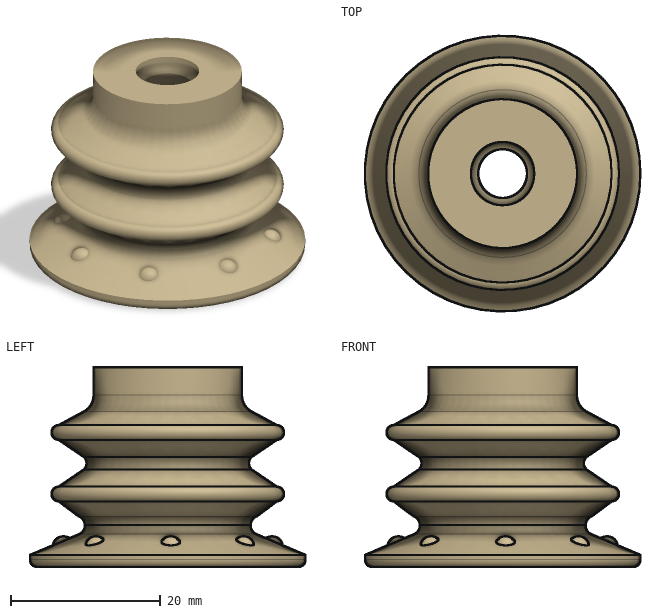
import cadquery as cq
import math

height = 26.8
rim_radius = 18.5
collar_radius = 10.0
collar_base_z = 23.05

rim_round = 1.0
rim_top_z = 1.63
skirt_top_radius = 11.85
skirt_top_z = 4.45

waist_radius = 11.17
waist_z = 5.65
waist_top_radius = 11.95
waist_top_z = 6.8
waist_mid_radius = 11.32
waist_mid_z = 6.3

fold_round = 1.0
fold_center_radius = 14.6
lower_fold_z = 9.8
fold_pitch = 8.25
upper_fold_z = lower_fold_z + fold_pitch

groove_radius = 10.9
groove_edge_radius = 11.2
groove_half_width = 0.8
groove_z = (lower_fold_z + upper_fold_z) / 2

shoulder_radius = 11.25
shoulder_z = 20.85

stud_count = 8
stud_circle_radius = 14.0
stud_sphere_radius = 1.48
stud_top_z = 4.15
stud_start_angle = -88.4

bore_radius = 3.25
counterbore_radius = 4.25
counterbore_wall = 1.0


def add_fold_edge(outline, fold_z):
    """Continue the outline up to a fold and around its half-round edge."""
    return outline.lineTo(fold_center_radius, fold_z - fold_round).threePointArc(
        (fold_center_radius + fold_round, fold_z),
        (fold_center_radius, fold_z + fold_round),
    )


def make_bellows():
    """Revolve the two folds and the collar, standing on the sealing lip at the waist."""
    counterbore_round = counterbore_radius - bore_radius
    round_start_z = height - counterbore_wall
    outline = (
        cq.Workplane("XZ")
        .moveTo(bore_radius, waist_z)
        .lineTo(waist_radius, waist_z)
        .threePointArc(
            (waist_mid_radius, waist_mid_z),
            (waist_top_radius, waist_top_z),
        )
    )
    outline = add_fold_edge(outline, lower_fold_z)
    outline = outline.lineTo(groove_edge_radius, groove_z - groove_half_width).threePointArc(
        (groove_radius, groove_z),
        (groove_edge_radius, groove_z + groove_half_width),
    )
    outline = add_fold_edge(outline, upper_fold_z)
    return (
        outline.lineTo(shoulder_radius, shoulder_z)
        .tangentArcPoint((collar_radius, collar_base_z), relative=False)
        .lineTo(collar_radius, height)
        .lineTo(counterbore_radius, height)
        .lineTo(counterbore_radius, round_start_z)
        .tangentArcPoint((bore_radius, round_start_z - counterbore_round), relative=False)
        .close()
        .revolve(360, (0, 0, 0), (0, 1, 0))
    )


def make_lip_blank():
    """Revolve the flared sealing lip from its flat base up to the waist."""
    return (
        cq.Workplane("XZ")
        .moveTo(bore_radius, 0)
        .lineTo(rim_radius - rim_round, 0)
        .tangentArcPoint((rim_radius, rim_round), relative=False)
        .lineTo(rim_radius, rim_top_z)
        .lineTo(skirt_top_radius, skirt_top_z)
        .tangentArcPoint((waist_radius, waist_z), relative=False)
        .lineTo(bore_radius, waist_z)
        .close()
        .revolve(360, (0, 0, 0), (0, 1, 0))
    )


def make_stud(angle):
    """Return a ball sunk into the skirt so that only its cap stands out."""
    x = stud_circle_radius * math.cos(math.radians(angle))
    y = stud_circle_radius * math.sin(math.radians(angle))
    center_z = stud_top_z - stud_sphere_radius
    return cq.Workplane("XY").sphere(stud_sphere_radius).translate((x, y, center_z))


def make_sealing_lip():
    """Build the sealing lip with its ring of studs."""
    body = make_lip_blank()
    for index in range(stud_count):
        body = body.union(make_stud(stud_start_angle + index * 360 / stud_count))
    return body


bellows = make_bellows()
sealing_lip = make_sealing_lip()

result = cq.Compound.makeCompound([bellows.solids().val(), sealing_lip.solids().val()])